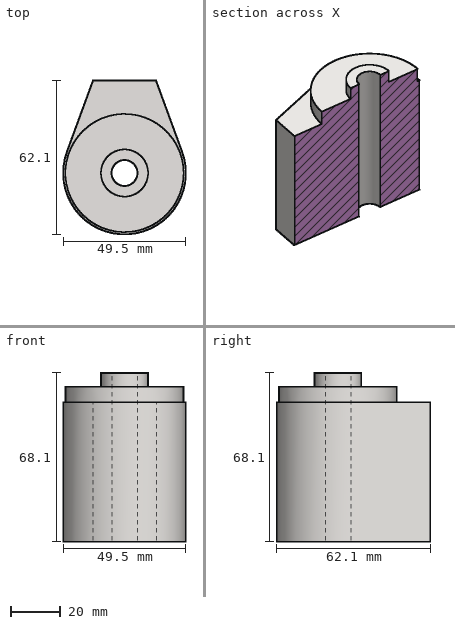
import cadquery as cq
import math

total_height = 68.1
total_depth = 62.05

body_diameter = 49.5
body_height = 56.3
back_width = 25.4

disc_diameter = 47.6
disc_height = 6.35
boss_diameter = 19.0
bore_diameter = 10.35

body_radius = body_diameter / 2
back_y = total_depth - body_radius
disc_top = body_height + disc_height
boss_height = total_height - disc_top

corner_distance = math.hypot(back_width / 2, back_y)
corner_angle = math.atan2(back_y, back_width / 2)
tangent_angle = corner_angle - math.acos(body_radius / corner_distance)
tangent_x = body_radius * math.cos(tangent_angle)
tangent_y = body_radius * math.sin(tangent_angle)


def make_body():
    """Teardrop outline extruded up from the base."""
    return (
        cq.Workplane("XY")
        .moveTo(-back_width / 2, back_y)
        .lineTo(-tangent_x, tangent_y)
        .threePointArc((0, -body_radius), (tangent_x, tangent_y))
        .lineTo(back_width / 2, back_y)
        .close()
        .extrude(body_height)
    )


def make_cylinder(diameter, bottom, height):
    """Upright cylinder on the barrel axis."""
    return cq.Workplane("XY").workplane(offset=bottom).circle(diameter / 2).extrude(height)


disc = make_cylinder(disc_diameter, body_height, disc_height)
boss = make_cylinder(boss_diameter, disc_top, boss_height)
bore = make_cylinder(bore_diameter, 0, total_height)

result = make_body().union(disc).union(boss).cut(bore)